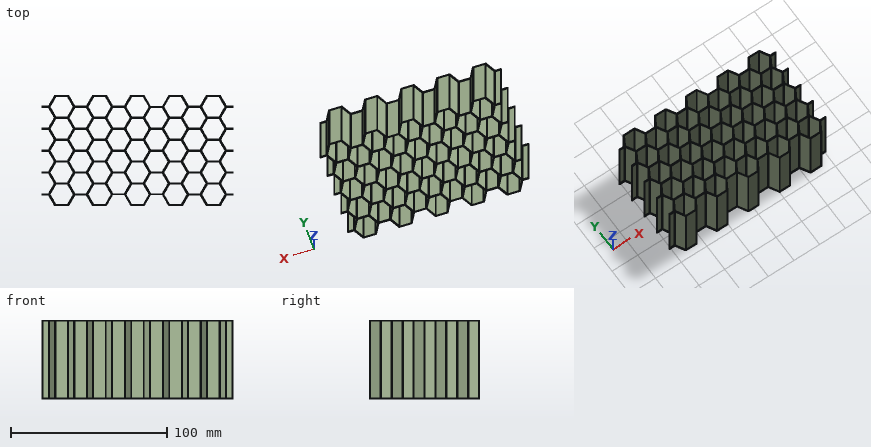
import cadquery as cq
import math

CELL_PITCH = 14.0
WALL = 0.5
LENGTH = 121.6
HEIGHT = 50.0
ROWS = 5
COLUMNS = 5

CELL_SIDE = CELL_PITCH / math.sqrt(3)
COLUMN_SPACING = 3 * CELL_SIDE
WIDTH = ROWS * CELL_PITCH
CELL_OPENING = CELL_PITCH - WALL

INNER_GAP_X = COLUMN_SPACING / 2
THIN_WALLED_CELLS = [
    (INNER_GAP_X, WIDTH / 2),
    (INNER_GAP_X, -WIDTH / 2),
    (-INNER_GAP_X, -WIDTH / 2),
]


def centred_positions(count, spacing):
    """Evenly spaced coordinates, symmetric about zero."""
    return [(index - (count - 1) / 2) * spacing for index in range(count)]


def grid(columns, rows):
    """Cell centres of a rectangular set of columns and rows."""
    return [
        (x, y)
        for x in centred_positions(columns, COLUMN_SPACING)
        for y in centred_positions(rows, CELL_PITCH)
    ]


def hexagonal_prisms(centres, across_flats):
    """Full-height hexagonal prisms with corners on the X direction."""
    across_corners = 2 * across_flats / math.sqrt(3)
    return (
        cq.Workplane("XY")
        .pushPoints(centres)
        .polygon(6, across_corners)
        .extrude(HEIGHT / 2, both=True)
    )


def cut_cells(block):
    """Open the full columns and the staggered cells between and around them.

    The outermost staggered cells are centred on the block's border, so the
    block holds only half (or, at its corners, a quarter) of each of them.
    """
    full_cells = grid(COLUMNS, ROWS)
    staggered_cells = grid(COLUMNS + 1, ROWS + 1)
    return block.cut(hexagonal_prisms(full_cells + staggered_cells, CELL_OPENING))


def thin_border_walls(block):
    """Remove the outer half of the walls around the thin-walled border cells."""
    return block.cut(hexagonal_prisms(THIN_WALLED_CELLS, CELL_PITCH))


solid_block = cq.Workplane("XY").box(LENGTH, WIDTH, HEIGHT)
result = thin_border_walls(cut_cells(solid_block))